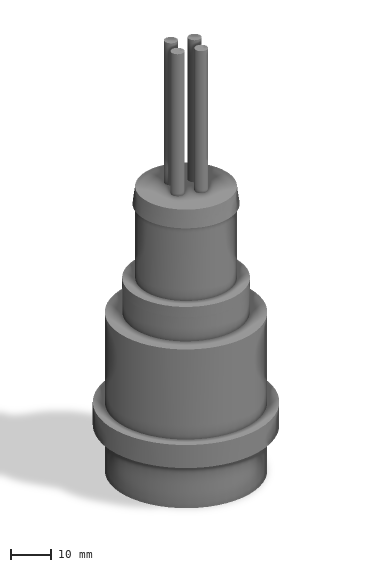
import cadquery as cq

total_height = 119.7
base_height = 12.8
flange_height = 6.5
barrel_height = 25.3
neck_height = 6.8
collar_height = 2.9
stem_height = 20.7
cap_height = 4.9

body_diameter = 40.5
flange_diameter = 46.5
neck_diameter = 31.7
collar_diameter = 31.8
stem_diameter = 25.4
cap_bottom_diameter = 26.7
cap_top_diameter = stem_diameter

wire_diameter = 3.5
wire_spacing = 6.1

sections = [
    (base_height, body_diameter, body_diameter),
    (flange_height, flange_diameter, flange_diameter),
    (barrel_height, body_diameter, body_diameter),
    (neck_height, neck_diameter, neck_diameter),
    (collar_height, collar_diameter, collar_diameter),
    (stem_height, stem_diameter, stem_diameter),
    (cap_height, cap_bottom_diameter, cap_top_diameter),
]


def make_body():
    """Revolve the stepped half profile about the Z axis."""
    profile = [(0, 0)]
    z = 0
    for height, lower_diameter, upper_diameter in sections:
        profile.append((lower_diameter / 2, z))
        z += height
        profile.append((upper_diameter / 2, z))
    profile.append((0, z))
    return cq.Workplane("XZ").polyline(profile).close().revolve(360, (0, 0), (0, 1))


def make_wires():
    """Wires standing on the cap and reaching the full height."""
    cap_top = sum(height for height, _, _ in sections)
    return (
        cq.Workplane("XY")
        .workplane(offset=cap_top)
        .rarray(wire_spacing, wire_spacing, 2, 2)
        .circle(wire_diameter / 2)
        .extrude(total_height - cap_top)
    )


result = make_body().union(make_wires())